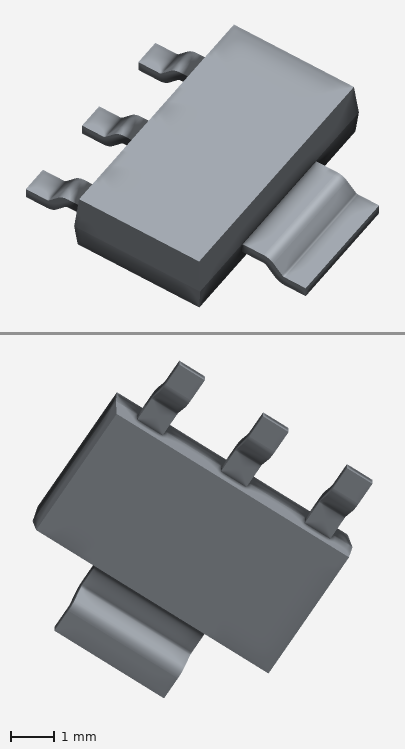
import cadquery as cq
import math

SPAN = 7.0
HEIGHT = 1.65

HOUSING_WIDTH = SPAN / 2
HOUSING_LENGTH = 6.5
STANDOFF = 0.05
PARTING_HEIGHT = 0.715
DRAFT_ANGLE = 5.0

THICKNESS = 0.28
RISE = 0.405
BEND_ANGLE = 46.5
REACH = (SPAN - HOUSING_WIDTH) / 2
FOOT_LENGTH = REACH / 3
BEND_LENGTH = REACH / 3
SEAT_DEPTH = (PARTING_HEIGHT - STANDOFF) * math.tan(math.radians(DRAFT_ANGLE))

LEAD_WIDTH = 0.7
LEAD_PITCH = 2.3
LEAD_COUNT = 3
TAB_WIDTH = 3.01


def make_housing_half(rise):
    """Block that narrows away from the parting plane; a negative rise goes downward."""
    parting_plane = cq.Workplane("XY", origin=(0, 0, PARTING_HEIGHT))
    return parting_plane.rect(HOUSING_WIDTH, HOUSING_LENGTH).extrude(rise, taper=DRAFT_ANGLE)


def make_housing():
    """Two drafted halves joined at the parting plane."""
    upper = make_housing_half(HEIGHT - PARTING_HEIGHT)
    lower = make_housing_half(STANDOFF - PARTING_HEIGHT)
    return upper.union(lower)


def make_gull_wing(width):
    """Bent strip on the -X side: foot, two equal opposite bends, shoulder seated in the housing."""
    angle = math.radians(BEND_ANGLE)
    sine = math.sin(angle)
    cosine = math.cos(angle)
    radius = (BEND_LENGTH * sine - RISE * cosine) / (2 * (1 - cosine))
    slope_length = (BEND_LENGTH - 2 * radius * sine) / cosine

    path = (
        cq.Workplane("XZ", origin=(-SPAN / 2, 0, THICKNESS / 2))
        .lineTo(FOOT_LENGTH, 0)
        .radiusArc((FOOT_LENGTH + radius * sine, radius * (1 - cosine)), -radius)
        .line(slope_length * cosine, slope_length * sine)
        .radiusArc((FOOT_LENGTH + BEND_LENGTH, RISE), radius)
        .lineTo(REACH + SEAT_DEPTH, RISE)
    )
    section = cq.Workplane("YZ", origin=(-SPAN / 2, 0, THICKNESS / 2)).rect(width, THICKNESS)
    return section.sweep(path)


def make_lead(y):
    return make_gull_wing(LEAD_WIDTH).translate((0, y, 0))


def make_tab():
    """Wide strip on the +X side."""
    return make_gull_wing(TAB_WIDTH).mirror("YZ")


leads = []
for index in range(LEAD_COUNT):
    lead_y = (index - (LEAD_COUNT - 1) / 2) * LEAD_PITCH
    leads.append(make_lead(lead_y))
tab = make_tab()

housing = make_housing().cut(tab)
for lead in leads:
    housing = housing.cut(lead)

result = cq.Compound.makeCompound([housing.solids().val(), tab.val(), *[lead.val() for lead in leads]])